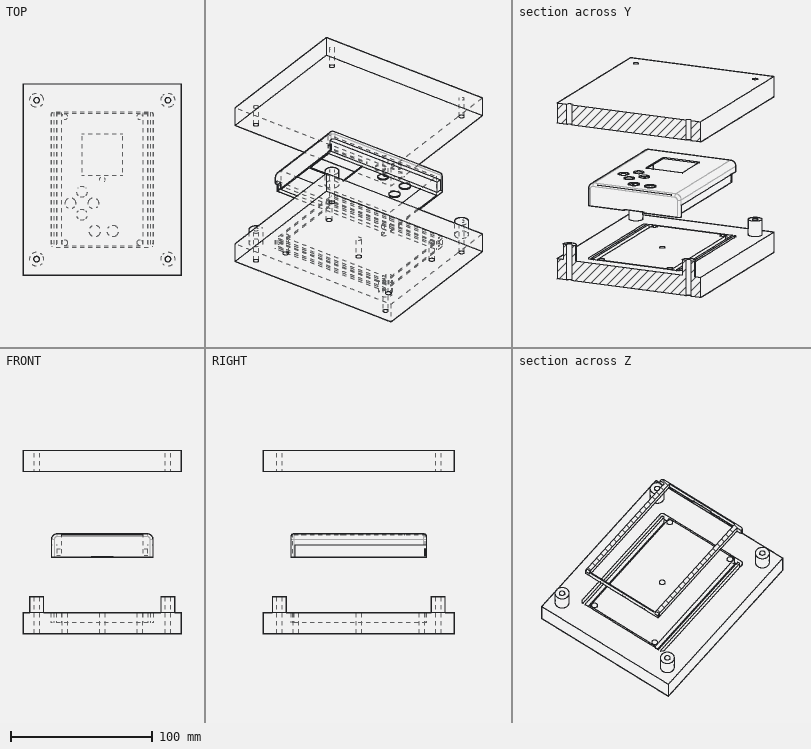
import cadquery as cq
PLATE_X = 112.0
PLATE_Y = 135.6
PLATE_THICKNESS = 15.0
STACK_HEIGHT = 130.0

POST_X = 46.5
POST_Y = 56.3
POST_DIAMETER = 9.9
POST_HEIGHT = 11.4
SCREW_DIAMETER = 3.8

COVER_X = 72.0
COVER_Y = 96.0
COVER_BOTTOM = 54.2
COVER_HEIGHT = 16.8
COVER_TOP = COVER_BOTTOM + COVER_HEIGHT
SIDE_RADIUS = 4.1
END_RADIUS = 2.0
SKIN = 1.0
TONGUE = 3.4

STEP_DEPTH = 3.8
STEP_HEIGHT = 8.7
STEP_END_GAP = 2.7

WINDOW_X = 28.5
WINDOW_Y = 29.3
WINDOW_CENTRE = (0, 17.8)
PAD_CENTRE = (-14.4, -16.7)
PAD_OFFSET = 8.1
PAD_HOLE_DIAMETER = 7.6
BUTTON_CENTRES = [(-5.3, -36.3), (7.5, -36.3)]
BUTTON_DIAMETER = 8.1

NOTCH_WIDTH = 15.0
NOTCH_HEIGHT = 0.7
SLOT_WIDTH = 0.7
SLOT_HEIGHT = 4.9
SLOT_BOTTOM = 1.2
SLOT_END_GAP = 0.7

GROOVE_DEPTH = 6.8
GROOVE_CLEARANCE = 0.3
GROOVE_X = COVER_X + 2 * GROOVE_CLEARANCE
GROOVE_Y = COVER_Y
OUTER_GROOVE_WIDTH = 2.0
RIB_WIDTH = 1.8
INNER_GROOVE_WIDTH = 3.5
END_GROOVE_WIDTH = 1.1
RIB_END_GAP = 2.2

MOUNT_X = 26.6
MOUNT_Y = 44.6
MOUNT_DIAMETER = 4.1


def centred_block(size_x, size_y, bottom, top, centre=(0, 0)):
    """Upright block centred on a point in plan."""
    plane = cq.Workplane("XY").workplane(offset=bottom)
    return plane.center(*centre).rect(size_x, size_y).extrude(top - bottom)


def side_blocks(x_inner, x_outer, y_start, y_end, bottom, top):
    """Two equal blocks, mirrored to the -X and +X sides."""
    middle_x = (x_inner + x_outer) / 2
    middle_y = (y_start + y_end) / 2
    width = x_outer - x_inner
    length = y_end - y_start
    left = centred_block(width, length, bottom, top, (-middle_x, middle_y))
    return left.union(centred_block(width, length, bottom, top, (middle_x, middle_y)))


def cylinders(centres, diameter, bottom, top):
    """Equal upright cylinders, one on each centre."""
    plane = cq.Workplane("XY").workplane(offset=bottom)
    return plane.pushPoints(centres).circle(diameter / 2).extrude(top - bottom)


def corner_points(x, y):
    return [(side * x, end * y) for side in (-1, 1) for end in (-1, 1)]


def make_top_plate():
    bottom = STACK_HEIGHT - PLATE_THICKNESS
    plate = centred_block(PLATE_X, PLATE_Y, bottom, STACK_HEIGHT)
    return plate.cut(cylinders(corner_points(POST_X, POST_Y), SCREW_DIAMETER, bottom, STACK_HEIGHT))


def rim_grooves():
    """Frame-shaped groove volume with the ribs left out of it."""
    floor = PLATE_THICKNESS - GROOVE_DEPTH
    half_x = GROOVE_X / 2
    half_y = GROOVE_Y / 2
    rib_outer = half_x - OUTER_GROOVE_WIDTH
    rib_inner = rib_outer - RIB_WIDTH
    island_x = 2 * (rib_inner - INNER_GROOVE_WIDTH)
    island_y = GROOVE_Y - 2 * END_GROOVE_WIDTH
    frame = centred_block(GROOVE_X, GROOVE_Y, floor, PLATE_THICKNESS).edges("|Z").fillet(END_RADIUS)
    island = centred_block(island_x, island_y, floor, PLATE_THICKNESS)
    ribs = side_blocks(rib_inner, rib_outer, -half_y + RIB_END_GAP, half_y, floor, PLATE_THICKNESS)
    return frame.cut(island).cut(ribs)


def make_base():
    post_top = PLATE_THICKNESS + POST_HEIGHT
    post_centres = corner_points(POST_X, POST_Y)
    mount_centres = corner_points(MOUNT_X, MOUNT_Y) + [(0, 0)]
    plate = centred_block(PLATE_X, PLATE_Y, 0, PLATE_THICKNESS)
    posts = cylinders(post_centres, POST_DIAMETER, PLATE_THICKNESS, post_top)
    return (
        plate.union(posts)
        .cut(rim_grooves())
        .cut(cylinders(post_centres, SCREW_DIAMETER, 0, post_top))
        .cut(cylinders(mount_centres, MOUNT_DIAMETER, 0, PLATE_THICKNESS))
    )


def cover_shell():
    """Rounded cover, stepped in along its long sides and hollow from below."""
    half_x = COVER_X / 2
    half_y = COVER_Y / 2
    tongue_outer = half_x - STEP_DEPTH
    tongue_inner = tongue_outer - TONGUE
    outside = (
        centred_block(COVER_X, COVER_Y, COVER_BOTTOM, COVER_TOP)
        .edges("|Y and >Z").fillet(SIDE_RADIUS)
        .faces("<Y or >Y").edges("not <Z").fillet(END_RADIUS)
    )
    steps = side_blocks(
        tongue_outer, half_x, -half_y + STEP_END_GAP, half_y, COVER_BOTTOM, COVER_BOTTOM + STEP_HEIGHT
    )
    cavity = centred_block(2 * tongue_inner, COVER_Y - 2 * SKIN, COVER_BOTTOM, COVER_TOP - SKIN)
    return outside.cut(steps).cut(cavity)


def roof_openings():
    """Display window, cross of four pad holes and two round button holes."""
    roof_bottom = COVER_TOP - SKIN
    pad_x, pad_y = PAD_CENTRE
    arms = [(PAD_OFFSET, 0), (0, PAD_OFFSET), (-PAD_OFFSET, 0), (0, -PAD_OFFSET)]
    pad_centres = [(pad_x + arm_x, pad_y + arm_y) for arm_x, arm_y in arms]
    window = centred_block(WINDOW_X, WINDOW_Y, roof_bottom, COVER_TOP, WINDOW_CENTRE)
    pad_holes = cylinders(pad_centres, PAD_HOLE_DIAMETER, roof_bottom, COVER_TOP)
    return window.union(pad_holes).union(cylinders(BUTTON_CENTRES, BUTTON_DIAMETER, roof_bottom, COVER_TOP))


def rim_openings():
    """Shallow notch under the -Y wall and a narrow upright slot through each side wall at the +Y end."""
    half_y = COVER_Y / 2
    tongue_outer = COVER_X / 2 - STEP_DEPTH
    tongue_inner = tongue_outer - TONGUE
    slot_bottom = COVER_BOTTOM + SLOT_BOTTOM
    slot_top = slot_bottom + SLOT_HEIGHT
    slot_end = half_y - SLOT_END_GAP
    notch_centre = (0, -half_y + SKIN / 2)
    notch = centred_block(NOTCH_WIDTH, SKIN, COVER_BOTTOM, COVER_BOTTOM + NOTCH_HEIGHT, notch_centre)
    slots = side_blocks(tongue_inner, tongue_outer, slot_end - SLOT_WIDTH, slot_end, slot_bottom, slot_top)
    return notch.union(slots)


def make_cover():
    return cover_shell().cut(roof_openings()).cut(rim_openings())


base = make_base()
cover = make_cover()
top_plate = make_top_plate()
result = cq.Compound.makeCompound([*base.solids().vals(), *cover.solids().vals(), *top_plate.solids().vals()])